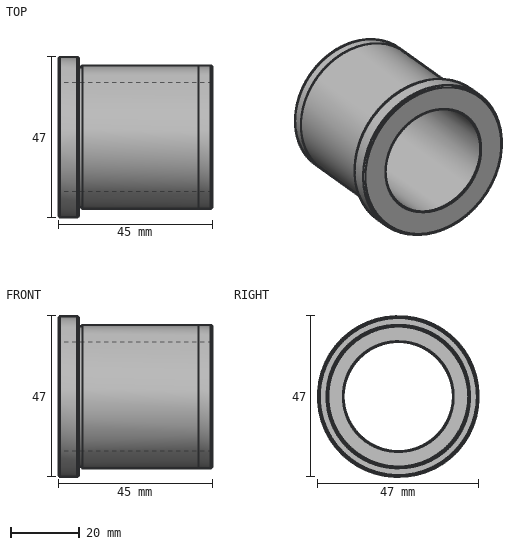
import cadquery as cq

length = 45.0
flange_diameter = 47.0
body_diameter = 42.0
bore_diameter = 32.0
lead_diameter = 41.98
flange_thickness = 6.0

outer_chamfer = 0.5
groove_width = 1.0
bore_chamfer = 0.2
lead_length = 4.0

flange_radius = flange_diameter / 2
body_radius = body_diameter / 2
bore_radius = bore_diameter / 2
lead_radius = lead_diameter / 2
groove_end = flange_thickness + groove_width
groove_radius = groove_width / 2
groove_middle = flange_thickness + groove_radius


def bush_profile():
    """Half section as (axial position, radius), from the flange end of the bore to its free end."""
    return (
        cq.Workplane("XY")
        .moveTo(bore_chamfer, bore_radius)
        .lineTo(0, bore_radius + bore_chamfer)
        .lineTo(0, flange_radius - outer_chamfer)
        .lineTo(outer_chamfer, flange_radius)
        .lineTo(flange_thickness - outer_chamfer, flange_radius)
        .lineTo(flange_thickness, flange_radius - outer_chamfer)
        .lineTo(flange_thickness, body_radius)
        .threePointArc((groove_middle, body_radius - groove_radius), (groove_end, body_radius))
        .lineTo(length - lead_length, body_radius)
        .lineTo(length - lead_length, lead_radius)
        .lineTo(length - outer_chamfer, lead_radius)
        .lineTo(length, lead_radius - outer_chamfer)
        .lineTo(length, bore_radius + bore_chamfer)
        .lineTo(length - bore_chamfer, bore_radius)
        .close()
    )


result = bush_profile().revolve(360, (0, 0, 0), (1, 0, 0))